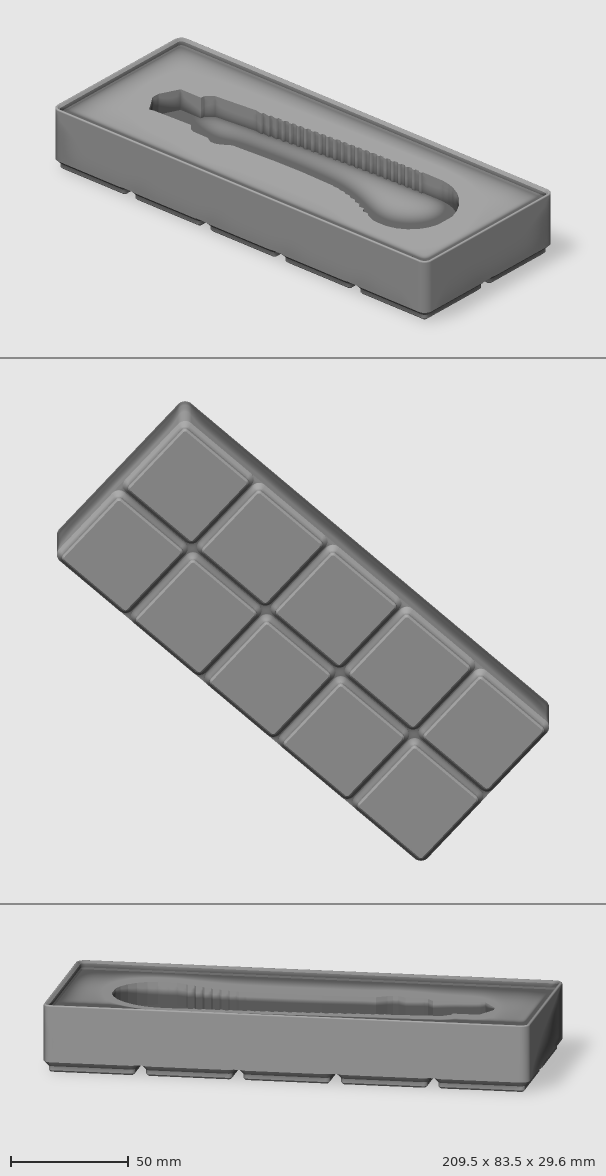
import cadquery as cq


SLOPE_ANGLE = 45

PITCH = 42.0
GAP = 0.5
COLUMNS = 5
ROWS = 2

FOOT_SIZE = PITCH - GAP
FOOT_HEIGHT = 5.0
FOOT_LOWER_SLOPE = 0.8
FOOT_BAND = 1.8
FOOT_UPPER_SLOPE = 2.15
FOOT_NECK = FOOT_HEIGHT - FOOT_LOWER_SLOPE - FOOT_BAND - FOOT_UPPER_SLOPE

LENGTH = COLUMNS * PITCH - GAP
WIDTH = ROWS * PITCH - GAP
CORNER_RADIUS = 3.9
DECK_Z = 26.0

RIM_LOWER_SLOPE = 0.7
RIM_BAND = 1.8
RIM_UPPER_SLOPE = 1.9
RIM_SHARP_HEIGHT = RIM_LOWER_SLOPE + RIM_BAND + RIM_UPPER_SLOPE
RIM_ROUND = 0.6

POCKET_DEPTH = 10.0
TOOTH_COUNT = 23
PLAIN_TOOTH_COUNT = 3
TOOTH_DEPTH = 0.7
CREST_END_SHARE = 0.4
VALLEY_START_SHARE = 0.6
VALLEY_END_SHARE = 0.9
STEP_COUNT = 8
TREAD_SHARE = 0.7
TOP_BOW = 0.9
STEP_BOW = 2.3

TEETH_START = (-41.6, 17.8)
TEETH_END = (47.5, 22.9)
STEPS_START = (23.0, -10.7)
STEPS_END = (54.3, -20.7)
END_TOP = (65.5, 21.2)
END_UPPER_MIDDLE = (76.4, 13.0)
END_RIGHT_UPPER = (82.2, 1.5)
END_RIGHT_LOWER = (82.2, -7.8)
END_LOWER_MIDDLE = (76.0, -18.5)
END_BOTTOM = (62.0, -23.0)
END_UPPER_FACETS = 5
END_LOWER_FACETS = 6


def rounded_block(length, width, inset, bottom, height, flare=0):
    """Block whose base is set in from length x width by inset on every side.

    A flare of 45 degrees widens it by its own height on its way up.
    """
    radius = CORNER_RADIUS - inset
    plan = (
        cq.Sketch()
        .rect(length - 2 * inset, width - 2 * inset)
        .vertices()
        .fillet(radius)
    )
    base = cq.Workplane("XY").workplane(offset=bottom)
    return base.placeSketch(plan).extrude(height, taper=-flare)


def stepped_block(length, width, bottom, lower_slope, band, upper_slope):
    """Slope, vertical band and slope stacked up, reaching length x width at the top."""
    band_bottom = bottom + lower_slope
    band_top = band_bottom + band
    base_inset = lower_slope + upper_slope
    lower = rounded_block(length, width, base_inset, bottom, lower_slope, SLOPE_ANGLE)
    middle = rounded_block(length, width, upper_slope, band_bottom, band)
    upper = rounded_block(length, width, upper_slope, band_top, upper_slope, SLOPE_ANGLE)
    return lower.union(middle).union(upper)


def make_feet():
    foot = stepped_block(FOOT_SIZE, FOOT_SIZE, 0, FOOT_LOWER_SLOPE, FOOT_BAND, FOOT_UPPER_SLOPE)
    neck = rounded_block(FOOT_SIZE, FOOT_SIZE, 0, FOOT_HEIGHT - FOOT_NECK, FOOT_NECK)
    foot = foot.union(neck)
    places = cq.Workplane("XY").rarray(PITCH, PITCH, COLUMNS, ROWS)
    return places.eachpoint(foot.val(), combine=False)


def make_body():
    """Solid body with the rim recess cut in and the rim crest rounded."""
    sharp_top = DECK_Z + RIM_SHARP_HEIGHT
    body = rounded_block(LENGTH, WIDTH, 0, FOOT_HEIGHT, sharp_top - FOOT_HEIGHT)
    recess = stepped_block(LENGTH, WIDTH, DECK_Z, RIM_LOWER_SLOPE, RIM_BAND, RIM_UPPER_SLOPE)
    crest = cq.selectors.BoxSelector(
        (-LENGTH, -WIDTH, sharp_top - RIM_ROUND / 2),
        (LENGTH, WIDTH, sharp_top + RIM_ROUND / 2),
    )
    return body.cut(recess).edges(crest).fillet(RIM_ROUND)


def bowed_height(x, start, end, bow):
    """Y at x on a parabola from start to end that rises by bow above its chord."""
    share = (x - start[0]) / (end[0] - start[0])
    return start[1] + share * (end[1] - start[1]) + 4 * bow * share * (1 - share)


def tooth_points():
    """Teeth along the upper edge, from left to right.

    The first few are plain ramps; the others have a flat crest and a flat valley.
    """
    pitch = (TEETH_END[0] - TEETH_START[0]) / TOOTH_COUNT
    points = []
    for index in range(TOOTH_COUNT):
        x = TEETH_START[0] + index * pitch
        crest = bowed_height(x, TEETH_START, TEETH_END, TOP_BOW)
        points.append((x, crest))
        if index >= PLAIN_TOOTH_COUNT:
            points.append((x + CREST_END_SHARE * pitch, crest))
            points.append((x + VALLEY_START_SHARE * pitch, crest - TOOTH_DEPTH))
        points.append((x + VALLEY_END_SHARE * pitch, crest - TOOTH_DEPTH))
    points.append(TEETH_END)
    return points


def step_points():
    """Stairs down the lower edge, from left to right."""
    pitch = (STEPS_END[0] - STEPS_START[0]) / STEP_COUNT
    points = []
    for index in range(STEP_COUNT):
        x = STEPS_START[0] + index * pitch
        level = bowed_height(x + pitch / 2, STEPS_START, STEPS_END, STEP_BOW)
        points.append((x, level))
        points.append((x + TREAD_SHARE * pitch, level))
    points.append(STEPS_END)
    return points


def facet_points(start, middle, end, count):
    """Corners of count equal flats along the circular arc through three points."""
    arc = cq.Edge.makeThreePointArc(*(cq.Vector(*point) for point in (start, middle, end)))
    return [arc.positionAt(index / count).toTuple()[:2] for index in range(count + 1)]


def pocket_outline():
    """Closed outline of the tool, clockwise from the left tip."""
    tip = [(-82.4, -2.2), (-82.4, 1.6), (-77.9, 10.9), (-66.6, 10.9)]
    shoulder = [(-66.3, 13.0), (-62.8, 15.9)]
    crown = [(58.3, 22.9), (62.4, 22.2)]
    rounded_end = facet_points(END_TOP, END_UPPER_MIDDLE, END_RIGHT_UPPER, END_UPPER_FACETS)
    rounded_end += facet_points(END_RIGHT_LOWER, END_LOWER_MIDDLE, END_BOTTOM, END_LOWER_FACETS)
    heel = [(58.5, -22.7)]
    belly = [(8.0, -10.4), (-6.0, -10.7), (-29.2, -12.0)]
    bump = [(-33.6, -14.8), (-36.0, -15.7), (-38.3, -15.7), (-41.6, -13.8)]
    notch = [(-49.7, -13.7), (-51.4, -13.0), (-54.2, -9.9), (-74.5, -10.7), (-76.5, -11.3)]
    chin = [(-78.3, -8.4)]
    upper_edge = tip + shoulder + tooth_points() + crown + rounded_end
    lower_edge = heel + step_points()[::-1] + belly + bump + notch + chin
    return upper_edge + lower_edge


def make_pocket():
    plane = cq.Workplane("XY").workplane(offset=DECK_Z - POCKET_DEPTH)
    return plane.polyline(pocket_outline()).close().extrude(POCKET_DEPTH)


result = make_body().union(make_feet()).cut(make_pocket())